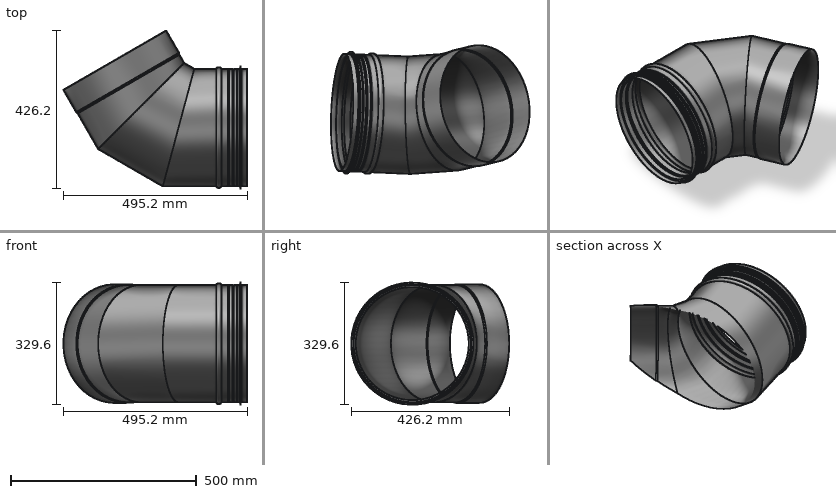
import cadquery as cq
import math

pipe_diameter = 316.6
wall = 0.5
miter_angle = 15.0
middle_length = 116.3
spigot_length = 184.8
sleeve_length = 142.3

sleeve_diameter = 320.0
mouth_length = 69.2
flare_length = 5.0

bead_distance = 76.3
bead_width = 15.0
bead_height = 4.8

groove_floor_diameter = 305.0
shoulder_round = 1.5
outer_groove_start = 14.0
outer_groove_width = 14.6
inner_groove_start = 35.8
inner_groove_width = 16.4

seal_base_diameter = 312.0
broad_rib_start = 40.0
broad_rib_width = 8.0
narrow_rib_start = 49.3
narrow_rib_width = 1.0

low_band_diameter = 315.6
lip_diameter = 329.6
lip_start = 17.5
lip_thickness = 1.1
lip_root_width = 1.6
lip_root_height = 1.2
flush_band_end = 26.0

pipe_radius = pipe_diameter / 2
bore_radius = pipe_radius - wall
sleeve_radius = sleeve_diameter / 2
groove_floor = groove_floor_diameter / 2
turn = 2 * miter_angle
overrun = 2 * pipe_radius


def along_pipe(turns, start):
    """Plane at a start point whose local Y axis follows the pipe after a number of turns."""
    angle = math.radians(turns * turn)
    direction = cq.Vector(-math.cos(angle), math.sin(angle), 0)
    across = direction.cross(cq.Vector(0, 0, 1))
    return cq.Plane(origin=start, xDir=across, normal=cq.Vector(0, 0, 1))


def point_along(start, turns, distance):
    return start + along_pipe(turns, start).yDir * distance


first_miter = cq.Vector(0, 0, 0)
second_miter = point_along(first_miter, 1, middle_length)
spigot_end = point_along(first_miter, 0, -spigot_length)
sleeve_end = point_along(second_miter, 2, sleeve_length)


def revolve_about_pipe(outline):
    return outline.close().revolve(360, (0, 0, 0), (0, 1, 0))


def beyond_miter(miter_point, turns):
    """Large block that fills everything past a miter plane in the direction of travel."""
    size = 2 * (overrun + spigot_length)
    plane = along_pipe(turns, miter_point)
    return cq.Workplane(plane).center(0, size / 2).box(size, size, size)


past_first_miter = beyond_miter(first_miter, 0.5)
past_second_miter = beyond_miter(second_miter, 1.5)


spigot_plane = along_pipe(0, spigot_end)


def spigot_core(inset):
    """Solid of revolution bounded by the sheet's outer face, or by its inner face at inset = wall."""
    radius = pipe_radius - inset
    corner = shoulder_round - inset
    outline = cq.Workplane(spigot_plane).moveTo(0, 0).lineTo(radius, 0)

    grooves = ((outer_groove_start, outer_groove_width), (inner_groove_start, inner_groove_width))
    for start, width in grooves:
        near = start - inset
        far = start + width + inset
        outline = (
            outline.lineTo(radius, near - corner)
            .radiusArc((radius - corner, near), -corner)
            .lineTo(groove_floor - inset, near)
            .lineTo(groove_floor - inset, far)
            .lineTo(radius - corner, far)
            .radiusArc((radius, far + corner), -corner)
        )

    half_width = bead_width / 2 - inset
    outline = outline.lineTo(radius, bead_distance - half_width).threePointArc(
        (radius + bead_height, bead_distance), (radius, bead_distance + half_width)
    )
    length = spigot_length + overrun
    return revolve_about_pipe(outline.lineTo(radius, length).lineTo(0, length))


spigot_gore = spigot_core(0).cut(spigot_core(wall)).cut(past_first_miter)


def make_middle_gore():
    plane = along_pipe(1, point_along(first_miter, 1, -overrun))
    length = middle_length + 2 * overrun
    outline = cq.Workplane(plane).moveTo(bore_radius, 0).lineTo(pipe_radius, 0)
    tube = revolve_about_pipe(outline.lineTo(pipe_radius, length).lineTo(bore_radius, length))
    return tube.intersect(past_first_miter).cut(past_second_miter)


middle_gore = make_middle_gore()


def make_sleeve_gore():
    plane = along_pipe(2, sleeve_end)
    mouth = -mouth_length
    flare = mouth - flare_length
    tail = -(sleeve_length + overrun)
    tube = revolve_about_pipe(
        cq.Workplane(plane)
        .moveTo(sleeve_radius, 0)
        .lineTo(sleeve_radius, mouth)
        .lineTo(pipe_radius, flare)
        .lineTo(pipe_radius, tail)
        .lineTo(bore_radius, tail)
        .lineTo(bore_radius, flare)
        .lineTo(sleeve_radius - wall, mouth)
        .lineTo(sleeve_radius - wall, 0)
    )
    return tube.intersect(past_second_miter)


sleeve_gore = make_sleeve_gore()


def make_seal(start, width, base_radius, ridges):
    """Flat ring with raised ridges, each given as its start, end and radius."""

    def ring(ring_start, ring_end, radius):
        return revolve_about_pipe(
            cq.Workplane(spigot_plane)
            .moveTo(groove_floor, ring_start)
            .lineTo(radius, ring_start)
            .lineTo(radius, ring_end)
            .lineTo(groove_floor, ring_end)
        )

    seal = ring(start, start + width, base_radius)
    for ridge in ridges:
        seal = seal.union(ring(*ridge))
    return seal


inner_seal = make_seal(
    inner_groove_start,
    inner_groove_width,
    seal_base_diameter / 2,
    [
        (broad_rib_start, broad_rib_start + broad_rib_width, pipe_radius),
        (narrow_rib_start, narrow_rib_start + narrow_rib_width, pipe_radius),
    ],
)

lip_end = lip_start + lip_thickness
lip_root_end = lip_end + lip_root_width
outer_seal = make_seal(
    outer_groove_start,
    outer_groove_width,
    low_band_diameter / 2,
    [
        (lip_start, lip_end, lip_diameter / 2),
        (lip_end, lip_root_end, pipe_radius + lip_root_height),
        (lip_root_end, flush_band_end, pipe_radius),
    ],
)

result = cq.Compound.makeCompound(
    [spigot_gore.val(), middle_gore.val(), sleeve_gore.val(), inner_seal.val(), outer_seal.val()]
)